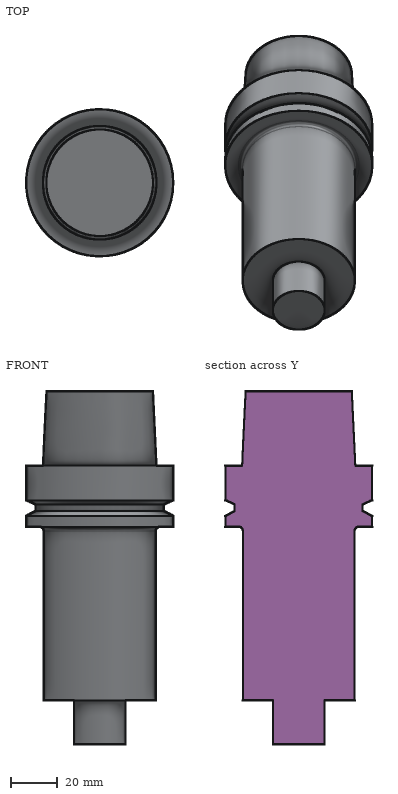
import cadquery as cq

flange_diameter = 63.0
groove_diameter = 55.0
body_diameter = 48.0
taper_base_diameter = 48.6
taper_top_diameter = 45.6
pin_diameter = 22.2

total_height = 151.0
body_bottom = 18.9
flange_bottom = 93.0
flange_top = 119.1
groove_lower_rim = 97.7
groove_upper_rim = 104.3

groove_floor_bottom = 99.8
groove_floor_top = 102.5
root_fillet = 1.8


def cylinder(diameter, bottom, top):
    """Vertical cylinder centred on the Z axis."""
    return cq.Workplane("XY").workplane(offset=bottom).circle(diameter / 2).extrude(top - bottom)


def taper():
    """Conical shank that narrows from the flange to the top face."""
    return (
        cq.Workplane("XZ")
        .moveTo(0, flange_top)
        .lineTo(taper_base_diameter / 2, flange_top)
        .lineTo(taper_top_diameter / 2, total_height)
        .lineTo(0, total_height)
        .close()
        .revolve(360, (0, 0), (0, 1))
    )


def flange_groove():
    """Ring cut from the flange, with sloping sides and a flat floor."""
    return (
        cq.Workplane("XZ")
        .moveTo(flange_diameter / 2, groove_lower_rim)
        .lineTo(groove_diameter / 2, groove_floor_bottom)
        .lineTo(groove_diameter / 2, groove_floor_top)
        .lineTo(flange_diameter / 2, groove_upper_rim)
        .close()
        .revolve(360, (0, 0), (0, 1))
    )


def root_blend():
    """Concave blend between the body and the underside of the flange."""
    body_radius = body_diameter / 2
    return (
        cq.Workplane("XZ")
        .moveTo(0, flange_bottom)
        .lineTo(body_radius + root_fillet, flange_bottom)
        .radiusArc((body_radius, flange_bottom - root_fillet), -root_fillet)
        .lineTo(0, flange_bottom - root_fillet)
        .close()
        .revolve(360, (0, 0), (0, 1))
    )


pin = cylinder(pin_diameter, 0, body_bottom)
body = cylinder(body_diameter, body_bottom, flange_bottom)
flange = cylinder(flange_diameter, flange_bottom, flange_top).cut(flange_groove())

result = pin.union(body).union(root_blend()).union(flange).union(taper())